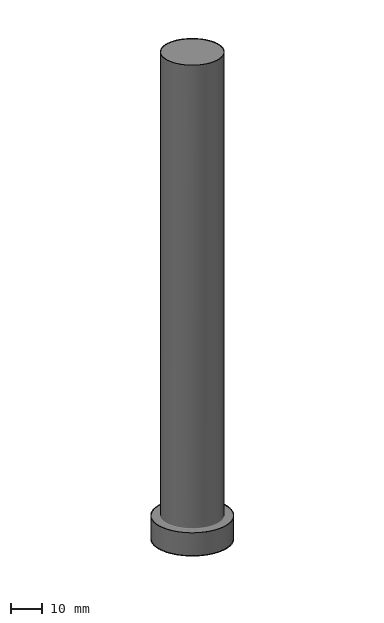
import cadquery as cq

total_length = 168.0
head_diameter = 26.0
head_height = 8.0
shank_diameter = 20.0
root_fillet_radius = 0.2

head_radius = head_diameter / 2
shank_radius = shank_diameter / 2
fillet_foot_radius = shank_radius + root_fillet_radius
fillet_top = head_height + root_fillet_radius


def make_pin():
    """Headed pin turned about Z: disc head at the bottom, plain shank with a filleted root."""
    half_profile = (
        cq.Workplane("XZ")
        .lineTo(head_radius, 0)
        .lineTo(head_radius, head_height)
        .lineTo(fillet_foot_radius, head_height)
        .radiusArc((shank_radius, fillet_top), root_fillet_radius)
        .lineTo(shank_radius, total_length)
        .lineTo(0, total_length)
        .close()
    )
    return half_profile.revolve(360, (0, 0), (0, 1))


result = make_pin()